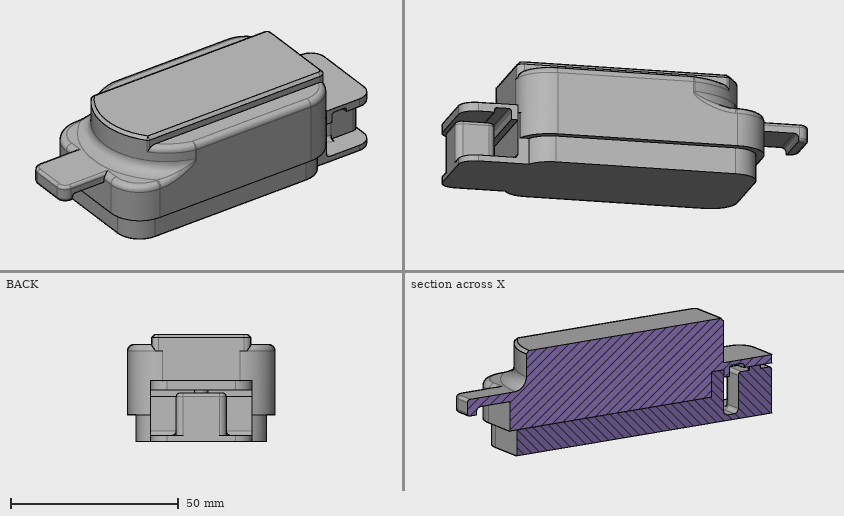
import cadquery as cq
import math

tolerance = 0.1
margin = 1.1

rear_y = 54.0
front_y = -54.0
case_half_width = 21.98
case_rear_y = 36.9
case_front_y = -39.0
corner_radius = 10.5
base_inset = 2.5
plate_width = 30.2
plate_corner_radius = 5.0

cover_bottom_z = 8.0
shelf_z = 20.0
deck_z = 28.9
ridge_top_z = 32.0
edge_radius = 2.0
cove_radius = 4.0
nose_radius = 22.5
nose_front_y = -33.2
nose_center_y = nose_front_y + nose_radius
ridge_width = 29.6
ridge_chamfer = 1.0
ridge_rear_radius = 2.0
ridge_front_radius = 1.0

tab_width = 16.1
tab_bottom_z = 17.1
tab_corner_radius = 3.0
tab_edge = 1.0
lip_length = 3.3
lip_bottom_z = 14.7
lip_fillet = 1.4

upper_plate_top_z = 18.1
upper_plate_bottom_z = 15.4
relief_top_z = 16.8
relief_rear_y = 44.2
leg_thickness = 2.0
leg_bottom_z = 13.5
relief_radius = 0.9

base_plate_thickness = 1.8
wall_top_z = 15.8
wall_thickness = 4.3
wall_fillet = 1.4
switch_length = 12.0
switch_width = 14.9
switch_top_z = 14.5
switch_corner_radius = 2.0
switch_edge = 1.1
foot_radius = 1.4
plunger_diameter = 4.0


def case_prism(inset, bottom_z, top_z):
    """Rounded-rectangle prism with the case outline moved inward by inset."""
    width = 2 * (case_half_width - inset)
    length = case_rear_y - case_front_y - 2 * inset
    return (
        cq.Workplane("XY", origin=(0, (case_rear_y + case_front_y) / 2, bottom_z))
        .rect(width, length)
        .extrude(top_z - bottom_z)
        .edges("|Z")
        .fillet(corner_radius - inset)
    )


def block(width, near_y, far_y, bottom_z, top_z):
    """Box centred on X = 0 between two Y and two Z positions."""
    return (
        cq.Workplane("XY", origin=(0, (near_y + far_y) / 2, bottom_z))
        .rect(width, far_y - near_y)
        .extrude(top_z - bottom_z)
    )


def side_profile(points, width):
    """Closed Y-Z outline extruded symmetrically about X = 0."""
    return cq.Workplane("YZ").polyline(points).close().extrude(width / 2, both=True)


def nose_prism(bottom_z, top_z):
    """Plan of the raised deck: straight toward the rear, round at the front."""
    nose = (
        cq.Workplane("XY", origin=(0, nose_center_y, bottom_z))
        .circle(nose_radius)
        .extrude(top_z - bottom_z)
    )
    return nose.union(block(2 * nose_radius, nose_center_y, case_rear_y, bottom_z, top_z))


def nose_cove():
    """Concave ring that leads from the shelf up to the round front of the deck."""
    outer = nose_radius + cove_radius
    top = shelf_z + cove_radius
    mid = cove_radius * (1 - math.cos(math.pi / 4))
    return (
        cq.Workplane("XZ", origin=(0, nose_center_y, 0))
        .moveTo(0, cover_bottom_z)
        .lineTo(outer, cover_bottom_z)
        .lineTo(outer, shelf_z)
        .threePointArc((nose_radius + mid, shelf_z + mid), (nose_radius, top))
        .lineTo(0, top)
        .close()
        .revolve(360, (0, 0, 0), (0, 1, 0))
    )


def is_shelf_rim(edge):
    """True for the outer edges of the shelf and for the edges where the cove runs out at the sides."""
    middle = edge.positionAt(0.5)
    at_shelf_height = shelf_z - tolerance < middle.z < shelf_z + cove_radius - tolerance
    on_side = abs(middle.x) > case_half_width - tolerance
    beyond_cove = math.hypot(middle.x, middle.y - nose_center_y) > nose_radius + cove_radius + tolerance
    return at_shelf_height and (on_side or beyond_cove)


def cover_shell():
    shelf = case_prism(0, cover_bottom_z, shelf_z)
    deck = case_prism(0, cover_bottom_z, deck_z).intersect(nose_prism(cover_bottom_z, deck_z))
    cove = case_prism(0, cover_bottom_z, deck_z).intersect(nose_cove())
    shell = shelf.union(deck).union(cove)
    rim = [edge for edge in shell.edges().vals() if is_shelf_rim(edge)]
    shell = shell.newObject(rim).fillet(edge_radius)
    return shell.faces(">Z").edges().fillet(edge_radius)


def ridge():
    bottom_z = deck_z - edge_radius
    strip = block(ridge_width, nose_front_y - margin, case_rear_y, bottom_z, ridge_top_z)
    bar = strip.intersect(nose_prism(bottom_z, ridge_top_z))
    bar = bar.edges("|Z and >Y").fillet(ridge_rear_radius)
    bar = bar.edges("|Z").edges("<Y").fillet(ridge_front_radius)
    return bar.faces(">Z").edges().chamfer(ridge_chamfer)


def finger_tab():
    root_y = case_front_y + edge_radius
    lip_rear_y = front_y + lip_length
    profile = side_profile(
        [
            (root_y, shelf_z),
            (front_y, shelf_z),
            (front_y, lip_bottom_z),
            (lip_rear_y, lip_bottom_z),
            (lip_rear_y, tab_bottom_z),
            (root_y, tab_bottom_z),
        ],
        tab_width,
    )
    inner_corner = cq.selectors.NearestToPointSelector((0, lip_rear_y, tab_bottom_z))
    tab = profile.edges(inner_corner).fillet(lip_fillet)
    tab = tab.edges("|Z and <Y").fillet(tab_corner_radius)
    tab = tab.faces(">Z").edges("not >Y").fillet(tab_edge)
    return tab.faces("<Z").edges("not >Y").fillet(tab_edge)


def upper_plate():
    leg_rear_y = case_rear_y + leg_thickness
    plate = side_profile(
        [
            (case_rear_y, upper_plate_top_z),
            (rear_y, upper_plate_top_z),
            (rear_y, upper_plate_bottom_z),
            (relief_rear_y, upper_plate_bottom_z),
            (relief_rear_y, relief_top_z),
            (leg_rear_y, relief_top_z),
            (leg_rear_y, leg_bottom_z),
            (case_rear_y, leg_bottom_z),
        ],
        plate_width,
    )
    for y in (relief_rear_y, leg_rear_y):
        corner = cq.selectors.NearestToPointSelector((0, y, relief_top_z))
        plate = plate.edges(corner).fillet(relief_radius)
    return plate.edges("|Z and >Y").fillet(plate_corner_radius)


def rear_wall(bottom_z):
    return block(plate_width, case_rear_y - wall_thickness, case_rear_y, bottom_z, wall_top_z)


def make_cover():
    cover = cover_shell().union(ridge()).union(finger_tab()).union(upper_plate())
    return cover.cut(rear_wall(cover_bottom_z))


def switch_body(bottom_z):
    body = block(switch_width, rear_y - switch_length, rear_y, bottom_z, switch_top_z)
    return body.edges("|Z").fillet(switch_corner_radius)


def switch_foot():
    """Concave fillet along the front side of the switch and round its two front corners."""
    front = rear_y - switch_length
    pad_reach = foot_radius + margin
    pad_width = switch_width + 2 * pad_reach
    pad = block(pad_width, front - pad_reach, rear_y + pad_reach, 0, base_plate_thickness)
    joint = pad.union(switch_body(base_plate_thickness))
    inner_edges = cq.selectors.BoxSelector(
        (-switch_width / 2 - tolerance, front - tolerance, base_plate_thickness - tolerance),
        (switch_width / 2 + tolerance, rear_y + tolerance, base_plate_thickness + tolerance),
    )
    joint = joint.edges(inner_edges).fillet(foot_radius)
    foot_top_z = base_plate_thickness + foot_radius
    front_part = block(
        pad_width, front - foot_radius, front + switch_corner_radius, base_plate_thickness, foot_top_z
    )
    return joint.intersect(front_part)


def switch():
    body = switch_body(base_plate_thickness).faces(">Z").edges().fillet(switch_edge)
    plunger = (
        cq.Workplane("XY", origin=(0, rear_y - switch_length / 2, switch_top_z))
        .circle(plunger_diameter / 2)
        .extrude(upper_plate_bottom_z - switch_top_z)
    )
    return body.union(plunger).union(switch_foot())


def make_base():
    plate = block(plate_width, 0, rear_y, 0, base_plate_thickness)
    plate = plate.edges("|Z and >Y").fillet(plate_corner_radius)
    frame = plate.union(rear_wall(0))
    inner_corner = cq.selectors.NearestToPointSelector((0, case_rear_y, base_plate_thickness))
    frame = frame.edges(inner_corner).fillet(wall_fillet)
    return frame.union(case_prism(base_inset, 0, cover_bottom_z)).union(switch())


cover = make_cover()
base = make_base()

result = cq.Compound.makeCompound([cover.val(), base.val()])